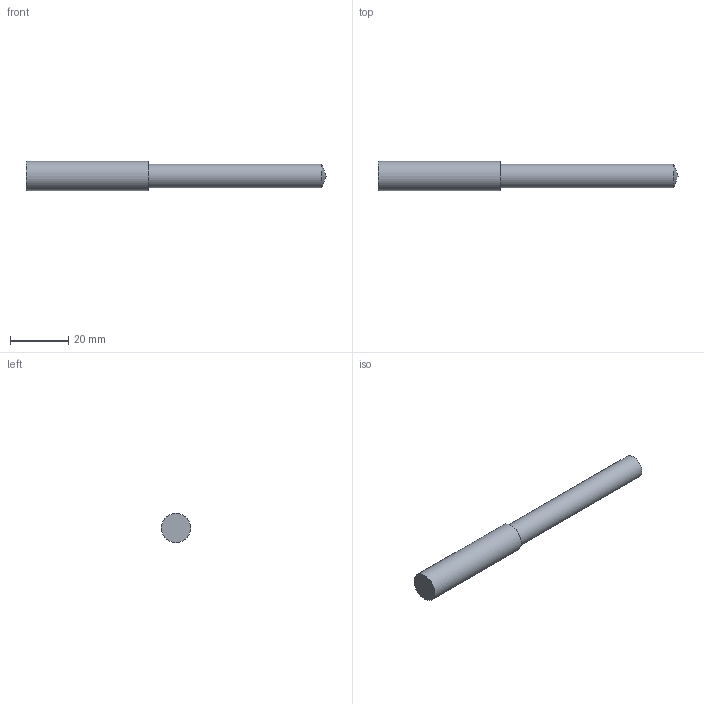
import cadquery as cq
import math

overall_length = 103.0
shank_diameter = 10.0
shank_length = 42.0
cutting_diameter = 8.2
point_angle = 140.0

shank_radius = shank_diameter / 2
cutting_radius = cutting_diameter / 2
point_height = cutting_radius / math.tan(math.radians(point_angle / 2))
point_start = overall_length - point_height


def make_drill():
    """Revolve the half outline of shank, cutting length and conical point about X."""
    half_outline = (
        cq.Workplane("XY")
        .moveTo(0, 0)
        .lineTo(0, shank_radius)
        .lineTo(shank_length, shank_radius)
        .lineTo(shank_length, cutting_radius)
        .lineTo(point_start, cutting_radius)
        .lineTo(overall_length, 0)
        .close()
    )
    return half_outline.revolve(360, (0, 0, 0), (1, 0, 0))


result = make_drill()